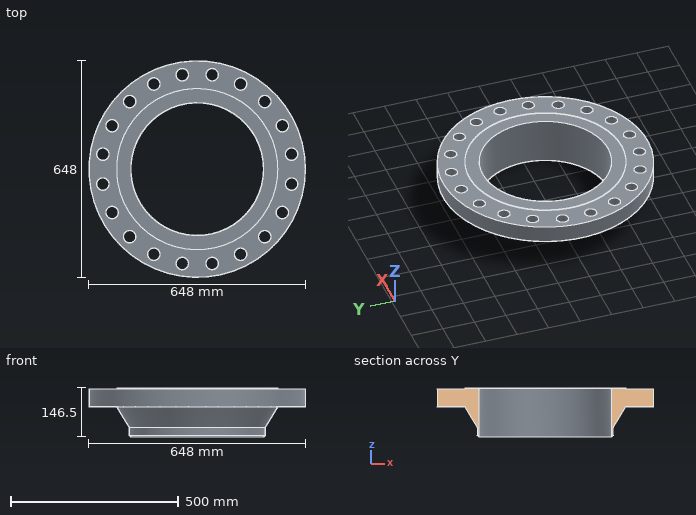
import cadquery as cq

flange_diameter = 648.0
total_height = 146.5
bore_diameter = 396.0

flange_thickness = 54.5
face_diameter = 482.0
face_height = 2.0

hub_diameter = 482.0
neck_diameter = 408.0
neck_height = 29.0
bevel_width = 5.0
bevel_height = 5.0

bolt_count = 20
bolt_circle_diameter = 571.0
bolt_hole_diameter = 36.0

flange_top = total_height - face_height
flange_bottom = flange_top - flange_thickness


def revolved_body():
    """Revolve the wall section of the flange, hub and neck around Z."""
    bore_radius = bore_diameter / 2
    neck_radius = neck_diameter / 2
    section = [
        (bore_radius, 0),
        (neck_radius - bevel_width, 0),
        (neck_radius, bevel_height),
        (neck_radius, neck_height),
        (hub_diameter / 2, flange_bottom),
        (flange_diameter / 2, flange_bottom),
        (flange_diameter / 2, flange_top),
        (face_diameter / 2, flange_top),
        (face_diameter / 2, total_height),
        (bore_radius, total_height),
    ]
    return cq.Workplane("XZ").polyline(section).close().revolve(360, (0, 0, 0), (0, 1, 0))


def bolt_holes():
    """Ring of through-hole cutters, straddling the X and Y axes."""
    half_pitch = 180 / bolt_count
    return (
        cq.Workplane("XY")
        .workplane(offset=flange_bottom)
        .polarArray(bolt_circle_diameter / 2, half_pitch, 360, bolt_count)
        .circle(bolt_hole_diameter / 2)
        .extrude(flange_thickness)
    )


result = revolved_body().cut(bolt_holes())